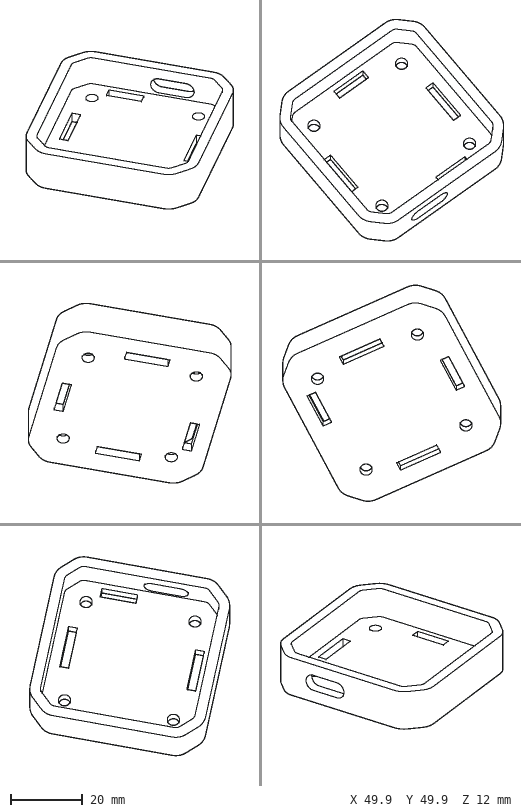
import cadquery as cq

side = 49.9
height = 12.0
wall = 3.0
floor = 3.0

corner_cut = 5.85
corner_radius = 5.0
cavity_side = side - 2 * wall
cavity_radius = corner_radius - wall
cavity_cut = corner_cut - wall * (2 - 2 ** 0.5)

hole_diameter = 3.4
hole_spacing = 30.95

floor_slots = [
    (-6.9, 19.1, 10.2, 2.6),
    (-0.5, -19.05, 10.2, 2.6),
    (-17.55, 0.8, 2.5, 12.55),
    (18.55, 0.7, 2.5, 12.45),
]

opening_length = 12.55
opening_height = 4.8
opening_x = 6.0
opening_z = 6.2


def rounded_octagon(width, cut, radius, depth):
    """Square prism with cut corners whose upright edges are all rounded."""
    prism = cq.Workplane("XY").rect(width, width).extrude(depth)
    return prism.edges("|Z").chamfer(cut).edges("|Z").fillet(radius)


def make_tray():
    body = rounded_octagon(side, corner_cut, corner_radius, height)
    cavity = rounded_octagon(cavity_side, cavity_cut, cavity_radius, height - floor)
    return body.cut(cavity.translate((0, 0, floor)))


def make_floor_holes():
    return (
        cq.Workplane("XY")
        .rect(hole_spacing, hole_spacing, forConstruction=True)
        .vertices()
        .circle(hole_diameter / 2)
        .extrude(floor)
    )


def make_floor_slot(x, y, size_x, size_y):
    return cq.Workplane("XY").center(x, y).rect(size_x, size_y).extrude(floor)


def make_wall_opening():
    return (
        cq.Workplane("XZ", origin=(opening_x, cavity_side / 2, opening_z))
        .slot2D(opening_length, opening_height)
        .extrude(-wall)
    )


result = make_tray().cut(make_floor_holes())
for slot in floor_slots:
    result = result.cut(make_floor_slot(*slot))
result = result.cut(make_wall_opening())